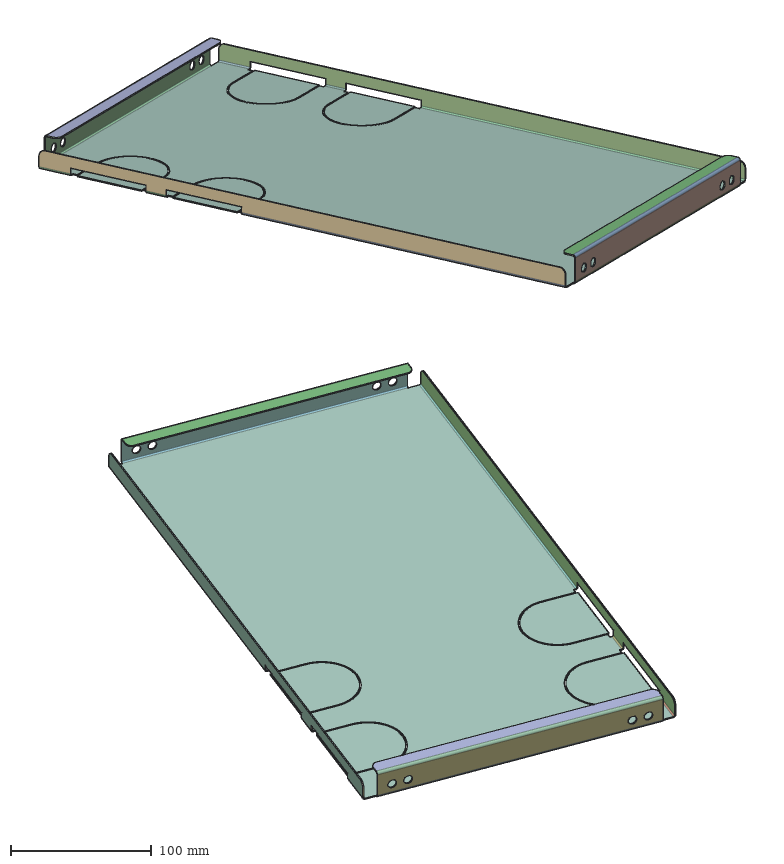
import cadquery as cq

LENGTH = 443.5
WIDTH = 244.0
HEIGHT = 22.0

SHEET = 1.0
BEND_INSIDE = 1.0
BEND_OUTSIDE = BEND_INSIDE + SHEET

SIDE_WALL_LENGTH = LENGTH - 2 * BEND_OUTSIDE
SIDE_WALL_HEIGHT = 15.0
SIDE_WALL_CORNER = 5.0

CHANNEL_LENGTH = 222.5
LIP_WIDTH = 12.0
LIP_CORNER = 5.0

HOLE_DIAMETER = 6.5
HOLE_HEIGHT = 9.0
HOLE_OUTER_Y = 99.8
HOLE_SPACING = 12.5

FIRST_TAB_X = -162.0
TABS_PER_SIDE = 2
TAB_SPACING = 80.0
TAB_WIDTH = 53.5
SLIT = 1.0
KNOCKOUT_WIDTH = TAB_WIDTH + 2 * SLIT
KNOCKOUT_DEPTH = 58.0
BRIDGE_WIDTH = 1.5

OPENING_WIDTH = 63.0
OPENING_HEIGHT = 6.0
OPENING_DEPTH = 3.5


def centred_box(length, width, height, x, y):
    """Box centred on (x, y) that stands on Z = 0."""
    return cq.Workplane("XY").box(length, width, height, centered=(True, True, False)).translate((x, y, 0))


def side_walls():
    """Floor with the two long walls folded up along its Y edges."""
    inner_width = WIDTH - 2 * SHEET
    trough = centred_box(SIDE_WALL_LENGTH, WIDTH, SIDE_WALL_HEIGHT, 0, 0)
    trough = trough.edges("|X and <Z").fillet(BEND_OUTSIDE)
    hollow = centred_box(SIDE_WALL_LENGTH, inner_width, SIDE_WALL_HEIGHT, 0, 0).translate((0, 0, SHEET))
    hollow = hollow.edges("|X and <Z").fillet(BEND_INSIDE)
    return trough.cut(hollow).edges("|Y and >Z").fillet(SIDE_WALL_CORNER)


def end_channels():
    """Floor strip with the two end walls and their inward lips."""
    channel = centred_box(LENGTH, CHANNEL_LENGTH, HEIGHT, 0, 0).edges("|Y").fillet(BEND_OUTSIDE)
    hollow = centred_box(LENGTH - 2 * SHEET, CHANNEL_LENGTH, HEIGHT - 2 * SHEET, 0, 0)
    hollow = hollow.translate((0, 0, SHEET)).edges("|Y").fillet(BEND_INSIDE)
    mouth = centred_box(LENGTH - 2 * LIP_WIDTH, CHANNEL_LENGTH, HEIGHT, 0, 0).translate((0, 0, HEIGHT / 2))
    channel = channel.cut(hollow).cut(mouth)
    lip_middle = HEIGHT - SHEET / 2
    lip_edge = LENGTH / 2 - LIP_WIDTH
    for side_x in (-1, 1):
        for side_y in (-1, 1):
            corner = (side_x * lip_edge, side_y * CHANNEL_LENGTH / 2, lip_middle)
            channel = channel.edges(cq.NearestToPointSelector(corner)).fillet(LIP_CORNER)
    return channel


def end_holes():
    """Bars running the full length that pierce both end walls."""
    inner_y = HOLE_OUTER_Y - HOLE_SPACING
    centres = [(y, HOLE_HEIGHT) for y in (-HOLE_OUTER_Y, -inner_y, inner_y, HOLE_OUTER_Y)]
    bars = cq.Workplane("YZ").pushPoints(centres).circle(HOLE_DIAMETER / 2)
    return bars.extrude(LENGTH / 2, both=True)


def tab_shape(width, inner_y, outer_y):
    """Round-nosed block pointing toward +Y, from its nose at inner_y to its straight end at outer_y."""
    radius = width / 2
    nose_y = inner_y + radius
    outline = (
        cq.Workplane("XY")
        .moveTo(-radius, outer_y)
        .lineTo(-radius, nose_y)
        .threePointArc((0, inner_y), (radius, nose_y))
        .lineTo(radius, outer_y)
        .close()
    )
    return outline.extrude(OPENING_HEIGHT)


def knockout_cut():
    """Material removed for one knockout on the +Y side at X = 0, leaving a bridge at the tab's nose."""
    edge_y = WIDTH / 2
    nose_y = edge_y - KNOCKOUT_DEPTH
    opening = centred_box(OPENING_WIDTH, OPENING_DEPTH, OPENING_HEIGHT, 0, edge_y - OPENING_DEPTH / 2)
    tab = tab_shape(TAB_WIDTH, nose_y + SLIT, edge_y - BEND_OUTSIDE)
    bridge = centred_box(BRIDGE_WIDTH, 2 * SLIT, OPENING_HEIGHT, 0, nose_y + SLIT / 2)
    return tab_shape(KNOCKOUT_WIDTH, nose_y, edge_y).union(opening).cut(tab).cut(bridge)


result = side_walls().union(end_channels()).cut(end_holes())
for index in range(TABS_PER_SIDE):
    cutter = knockout_cut().translate((FIRST_TAB_X + index * TAB_SPACING, 0, 0))
    result = result.cut(cutter).cut(cutter.mirror("XZ"))